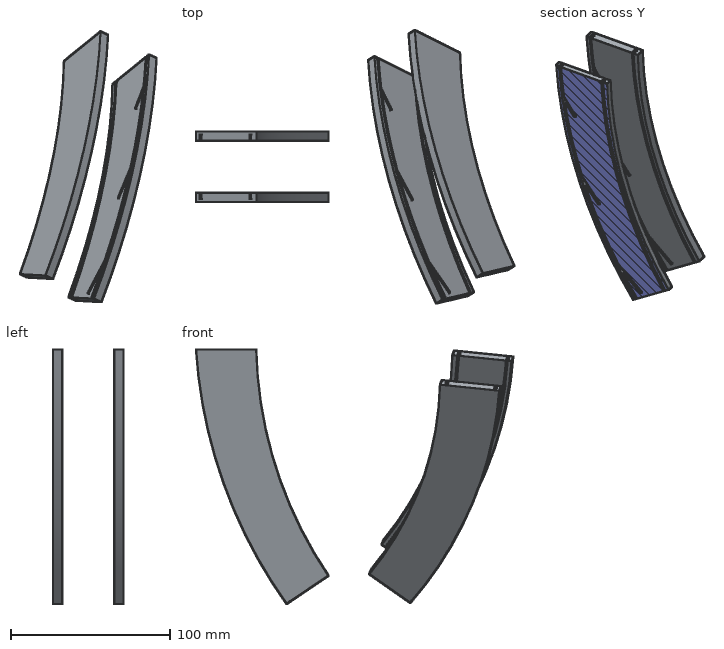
import cadquery as cq
import math


plate_thickness = 6.0
plate_gap = 32.4
top_width = 38.0
convex_end = (57.0, -160.0)
concave_end = (83.42, -142.2)
convex_radius = 309.0
concave_radius = 263.3

guide_depth = 4.0
guide_width = 1.2
convex_margin = 2.4
concave_margin = 3.2
concave_slot_radius = 290.0
slot_end_wall = 0.5

groove_width = 1.2
groove_depth = 4.0
branch_grooves = [
    ((5.5, -22.8), (14.1, -34.6)),
    ((18.9, -79.2), (31.9, -95.4)),
    ((44.1, -135.7), (63.1, -152.0)),
]

inner_face = plate_gap / 2
convex_start = (0.0, 0.0)
concave_start = (top_width, 0.0)


def arc_center(start, end, radius):
    """Center, on the +X side, of the arc that runs down from start to end."""
    dx = end[0] - start[0]
    dz = end[1] - start[1]
    chord = math.hypot(dx, dz)
    rise = math.sqrt(radius**2 - (chord / 2) ** 2)
    return (
        (start[0] + end[0]) / 2 - dz / chord * rise,
        (start[1] + end[1]) / 2 + dx / chord * rise,
    )


def arc_middle(start, end, radius):
    """Point halfway along that arc, on its -X side."""
    center = arc_center(start, end, radius)
    chord_angle = math.atan2(end[1] - start[1], end[0] - start[0])
    angle = chord_angle - math.pi / 2
    return (center[0] + radius * math.cos(angle), center[1] + radius * math.sin(angle))


def inner_face_plane():
    """Plane of the rear plate's inner face; local axes are X and Z, extrusion is toward -Y."""
    return cq.Workplane("XZ", origin=(0, inner_face, 0))


def plate_blank():
    convex_middle = arc_middle(convex_start, convex_end, convex_radius)
    concave_middle = arc_middle(concave_start, concave_end, concave_radius)
    return (
        inner_face_plane()
        .moveTo(*convex_start)
        .threePointArc(convex_middle, convex_end)
        .lineTo(*concave_end)
        .threePointArc(concave_middle, concave_start)
        .close()
        .extrude(-plate_thickness)
    )


def guide_ring(center, inner_radius):
    return (
        inner_face_plane()
        .center(*center)
        .circle(inner_radius + guide_width)
        .circle(inner_radius)
        .extrude(-guide_depth)
    )


def guide_slots(blank):
    """Two arc slots, open at the top and stopped just short of the lower end."""
    end_dx = concave_end[0] - convex_end[0]
    end_dz = concave_end[1] - convex_end[1]
    end_length = math.hypot(end_dx, end_dz)
    along_end = (end_dx / end_length, end_dz / end_length)

    convex_center = arc_center(convex_start, convex_end, convex_radius)
    convex_slot = guide_ring(convex_center, convex_radius - convex_margin - guide_width)

    concave_slot_start = (concave_start[0] - concave_margin, concave_start[1])
    concave_slot_end = (
        concave_end[0] - concave_margin * along_end[0],
        concave_end[1] - concave_margin * along_end[1],
    )
    concave_slot_center = arc_center(concave_slot_start, concave_slot_end, concave_slot_radius)
    concave_slot = guide_ring(concave_slot_center, concave_slot_radius)

    end_wall_shift = (-along_end[1] * slot_end_wall, 0, along_end[0] * slot_end_wall)
    slot_region = blank.intersect(blank.translate(end_wall_shift))
    top_block = cq.Workplane("XY").box(2 * top_width, 2 * plate_gap, 2 * top_width)
    slot_region = slot_region.union(blank.intersect(top_block))
    return convex_slot.union(concave_slot).intersect(slot_region)


def branch_groove(start, end):
    dx = end[0] - start[0]
    dz = end[1] - start[1]
    return (
        inner_face_plane()
        .center((start[0] + end[0]) / 2, (start[1] + end[1]) / 2)
        .transformed(rotate=(0, 0, math.degrees(math.atan2(dz, dx))))
        .rect(math.hypot(dx, dz), groove_width)
        .extrude(-groove_depth)
    )


def rear_cheek_plate():
    blank = plate_blank()
    plate = blank.cut(guide_slots(blank))
    for start, end in branch_grooves:
        plate = plate.cut(branch_groove(start, end))
    return plate


rear_plate = rear_cheek_plate()
front_plate = rear_plate.mirror("XZ")

result = cq.Compound.makeCompound([rear_plate.val(), front_plate.val()])